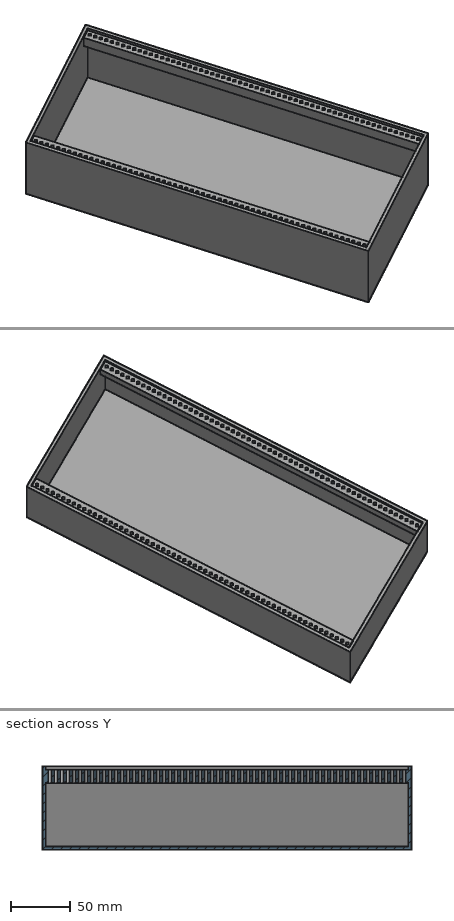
import cadquery as cq

length = 312.54
width = 136.0
height = 71.0
wall = 3.0
floor = 3.0

rail_width = 8.5
rail_height = 11.5
rail_recess = 3.0

hole_diameter = 2.5
hole_pitch = 5.08
hole_count = 60
hole_row_spacing = 122.5

inner_length = length - 2 * wall
inner_width = width - 2 * wall
rail_top = height - rail_recess
rail_bottom = rail_top - rail_height


def make_case():
    """Box with a rectangular cavity open at the top."""
    outer = cq.Workplane("XY").box(length, width, height, centered=(True, True, False))
    cavity = (
        cq.Workplane("XY")
        .workplane(offset=floor)
        .rect(inner_length, inner_width)
        .extrude(height - floor)
    )
    return outer.cut(cavity)


def make_rail(side):
    """Rail along one long wall; side is +1 for the +Y wall and -1 for the -Y wall."""
    rail_center_y = side * (inner_width - rail_width) / 2
    return (
        cq.Workplane("XY")
        .workplane(offset=rail_bottom)
        .center(0, rail_center_y)
        .rect(inner_length, rail_width)
        .extrude(rail_height)
    )


def make_hole_row(side):
    """Row of cylinders that drill right through one rail."""
    return (
        cq.Workplane("XY")
        .workplane(offset=rail_bottom)
        .center(0, side * hole_row_spacing / 2)
        .rarray(hole_pitch, 1, hole_count, 1)
        .circle(hole_diameter / 2)
        .extrude(rail_height)
    )


result = make_case()
for side in (1, -1):
    drilled_rail = make_rail(side).cut(make_hole_row(side))
    result = result.union(drilled_rail)